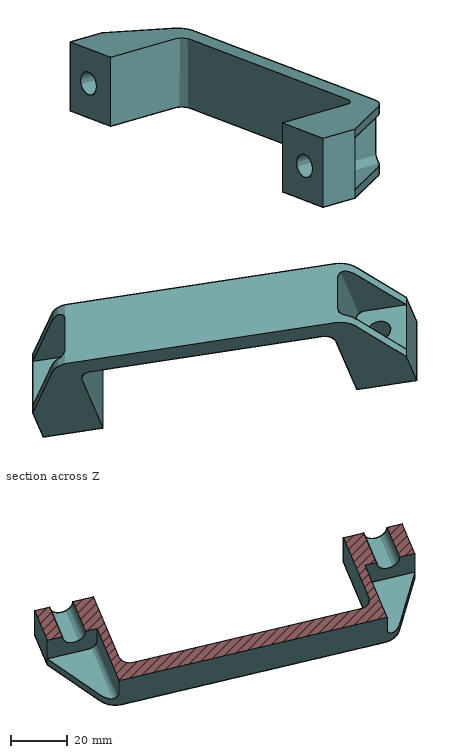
import cadquery as cq
import math

LENGTH = 137.0
DEPTH = 41.0
WIDTH = 26.0

LEG_THICKNESS = 22.0
GRIP_THICKNESS = 7.0
SHOULDER_Y = 15.0
SLOPE_ANGLE = 60.0
OUTER_RADIUS = 8.0
INNER_RADIUS = 4.0

HOLE_DIAMETER = 8.5
HOLE_SPACING = 117.0
RECESS_BACK_WALL = 3.5
RECESS_WIDTH = 19.5
RECESS_CORNER_RADIUS = 3.25

HALF_LENGTH = LENGTH / 2
HOLE_X = HOLE_SPACING / 2
LEG_INNER_X = HALF_LENGTH - LEG_THICKNESS
RECESS_WALL_X = LEG_INNER_X + RECESS_BACK_WALL


def make_body():
    """Bow-shaped handle with sloping shoulders, centred on X = 0 and Z = 0."""
    slope_run = (DEPTH - SHOULDER_Y) / math.tan(math.radians(SLOPE_ANGLE))
    top_x = HALF_LENGTH - slope_run
    grip_y = DEPTH - GRIP_THICKNESS
    body = (
        cq.Workplane("XY")
        .workplane(offset=-WIDTH / 2)
        .polyline([
            (-HALF_LENGTH, 0),
            (-HALF_LENGTH, SHOULDER_Y),
            (-top_x, DEPTH),
            (top_x, DEPTH),
            (HALF_LENGTH, SHOULDER_Y),
            (HALF_LENGTH, 0),
            (LEG_INNER_X, 0),
            (LEG_INNER_X, grip_y),
            (-LEG_INNER_X, grip_y),
            (-LEG_INNER_X, 0),
        ])
        .close()
        .extrude(WIDTH)
    )
    inner_corners = cq.selectors.BoxSelector(
        (-LEG_INNER_X - INNER_RADIUS, grip_y - INNER_RADIUS, -WIDTH),
        (LEG_INNER_X + INNER_RADIUS, grip_y + INNER_RADIUS, WIDTH),
    )
    body = body.edges("|Z").edges(inner_corners).fillet(INNER_RADIUS)
    return body.edges("|Z and >Y").fillet(OUTER_RADIUS)


def make_recess(side):
    """Screw-head recess above one leg, open at the end and the outer face."""
    recess_length = HALF_LENGTH - RECESS_WALL_X
    center_x = side * (HALF_LENGTH + RECESS_WALL_X) / 2
    inner_edges = "|Y and <X" if side > 0 else "|Y and >X"
    return (
        cq.Workplane("XY")
        .box(recess_length, DEPTH - SHOULDER_Y, RECESS_WIDTH)
        .edges(inner_edges)
        .fillet(RECESS_CORNER_RADIUS)
        .translate((center_x, (DEPTH + SHOULDER_Y) / 2, 0))
    )


def make_hole(side):
    """Mounting hole through one leg, from the foot to the recess floor."""
    return (
        cq.Workplane("XZ", origin=(side * HOLE_X, 0, 0))
        .circle(HOLE_DIAMETER / 2)
        .extrude(-DEPTH)
    )


result = make_body()
for end in (-1, 1):
    result = result.cut(make_recess(end)).cut(make_hole(end))